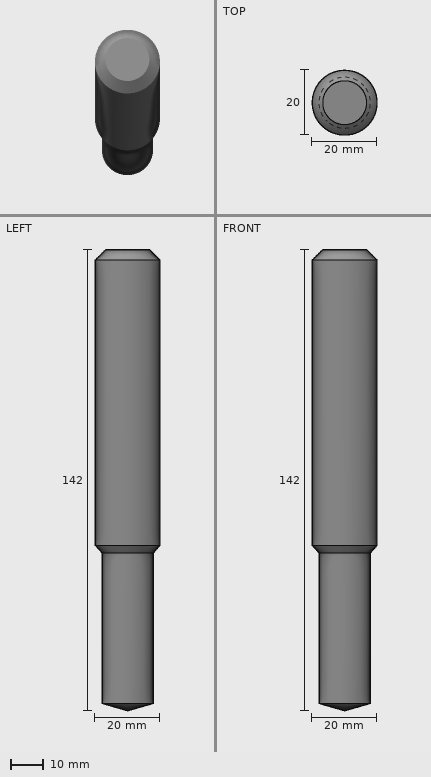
import cadquery as cq

total_length = 142.0
top_z = total_length / 2
tip_z = -total_length / 2

shank_diameter = 20.0
shank_radius = shank_diameter / 2
top_chamfer = 3.3
taper_height = 2.4
shank_length = 93.5

pin_diameter = 15.8
pin_radius = pin_diameter / 2
tip_height = 2.3

joint_z = top_z - shank_length


def revolve_profile(points):
    """Turn a closed (radius, z) outline about the Z axis."""
    return cq.Workplane("XZ").polyline(points).close().revolve(360, (0, 0, 0), (0, 1, 0))


def make_shank():
    """Round shank, chamfered at the top and tapered to the pin diameter at the bottom."""
    return revolve_profile([
        (0, joint_z),
        (pin_radius, joint_z),
        (shank_radius, joint_z + taper_height),
        (shank_radius, top_z - top_chamfer),
        (shank_radius - top_chamfer, top_z),
        (0, top_z),
    ])


def make_pin():
    """Round pin with a conical tip, butted against the lower face of the shank."""
    return revolve_profile([
        (0, tip_z),
        (pin_radius, tip_z + tip_height),
        (pin_radius, joint_z),
        (0, joint_z),
    ])


shank = make_shank()
pin = make_pin()

result = cq.Compound.makeCompound([shank.val(), pin.val()])